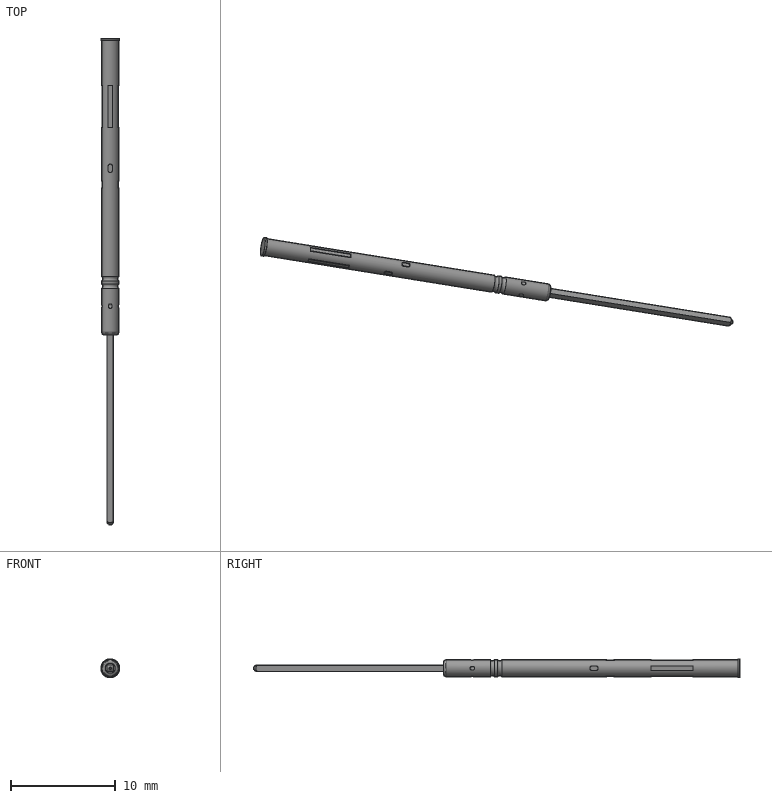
import cadquery as cq
import math

overall_length = 46.5
collar_diameter = 1.8
collar_length = 0.2
body_diameter = 1.65
body_length = 28.35
nose_radius = 0.3
nose_opening_diameter = 0.95
nose_opening_depth = 0.2

needle_width = 0.62
needle_embedment = 0.4
tip_diameter = 0.2
tip_side_angle = 45

groove_starts = (22.75, 23.45)
groove_width = 0.42
groove_depth = 0.1

recess_depth = 0.1
slot_start = 4.5
slot_length = 4.0
slot_width = 0.4
dimple_length = 0.8
dimple_width = 0.42
upper_dimple_center = 12.4
side_dimple_center = 13.95
front_dot_center = 25.58
front_dot_diameter = 0.45

body_radius = body_diameter / 2
needle_corner_radius = needle_width / math.sqrt(2)
recess_floor = body_radius - recess_depth
UP_AND_DOWN = (0, 180)
SIDEWAYS = (90, 270)
ALL_ROUND = UP_AND_DOWN + SIDEWAYS


def section_plane(distance):
    """Plane across the pin axis; extrusions from it run toward the tip."""
    return cq.Workplane("XZ", origin=(0, -distance, 0))


def recess_plane(distance, height):
    """Plane above the pin axis, facing +Z."""
    return cq.Workplane("XY", origin=(0, -distance, height))


def make_body():
    collar = section_plane(0).circle(collar_diameter / 2).extrude(collar_length)
    body = section_plane(0).circle(body_radius).extrude(body_length)
    body = body.faces("<Y").fillet(nose_radius)
    opening = (
        section_plane(body_length - nose_opening_depth)
        .circle(nose_opening_diameter / 2)
        .extrude(nose_opening_depth)
    )
    return collar.union(body).cut(opening)


def make_needle():
    start = body_length - needle_embedment
    length = overall_length - start
    shaft = section_plane(start).rect(needle_width, needle_width).extrude(length)

    tip_radius = tip_diameter / 2
    cone_length = (needle_corner_radius - tip_radius) / math.tan(math.radians(tip_side_angle))
    cone_start = overall_length - cone_length
    envelope = (
        cq.Workplane("XY")
        .moveTo(0, -start)
        .lineTo(needle_corner_radius, -start)
        .lineTo(needle_corner_radius, -cone_start)
        .lineTo(tip_radius, -overall_length)
        .lineTo(0, -overall_length)
        .close()
        .revolve(360, (0, 0, 0), (0, 1, 0))
    )
    return shaft.intersect(envelope)


def groove(start):
    """Ring with an arc-shaped section, one groove_width long."""
    return (
        cq.Workplane("XY")
        .moveTo(body_radius, -start)
        .threePointArc(
            (body_radius - groove_depth, -start - groove_width / 2),
            (body_radius, -start - groove_width),
        )
        .lineTo(collar_diameter / 2, -start - groove_width)
        .lineTo(collar_diameter / 2, -start)
        .close()
        .revolve(360, (0, 0, 0), (0, 1, 0))
    )


def slot():
    center = slot_start + slot_length / 2
    return recess_plane(center, recess_floor).rect(slot_width, slot_length).extrude(body_radius)


def oblong_dimple(center):
    sketch = recess_plane(center, recess_floor).slot2D(dimple_length, dimple_width, 90)
    return sketch.extrude(body_radius)


def conical_dot():
    apex = cq.Vector(0, -front_dot_center, recess_floor)
    return cq.Workplane(
        cq.Solid.makeCone(0, front_dot_diameter / 2, recess_depth, apex, cq.Vector(0, 0, 1))
    )


def cut_around_axis(part, cutter, angles):
    for angle in angles:
        part = part.cut(cutter.rotate((0, 0, 0), (0, 1, 0), angle))
    return part


result = make_body().union(make_needle())
for groove_start in groove_starts:
    result = result.cut(groove(groove_start))
result = cut_around_axis(result, slot(), ALL_ROUND)
result = cut_around_axis(result, oblong_dimple(upper_dimple_center), UP_AND_DOWN)
result = cut_around_axis(result, oblong_dimple(side_dimple_center), SIDEWAYS)
result = cut_around_axis(result, conical_dot(), ALL_ROUND)